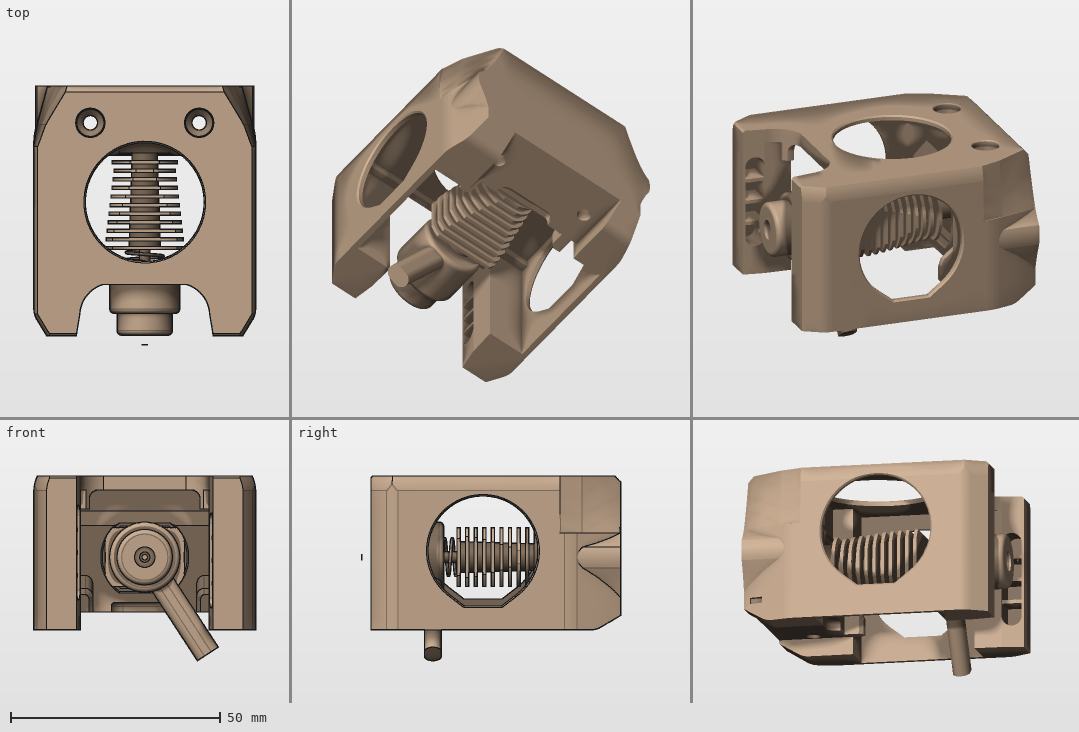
import cadquery as cq
import math


TOTAL_LENGTH = 61.85
DEPTH = 59.7
WIDTH = 53.0
HALF_WIDTH = WIDTH / 2
HEIGHT = 36.8
CROWN_START = 33.3
CROWN_TOP_INSET = 0.85
CROWN_MID_INSET = 0.25
LEG_TIP_HALF_WIDTH = 23.45
LEG_CHAMFER_END = 5.0
LEG_CHAMFER_ROUND = 5.4
TAPER_START = 47.8
REAR_HALF_WIDTH = 23.2
TAPER_ROUND = 11.15
REAR_BEVEL_LENGTH = 5.9
REAR_BEVEL_HEIGHT = 3.45
REAR_BEVEL_ROUND = 4.95
REAR_TOP_CHAMFER = 1.5
FRONT_TOP_CHAMFER = 0.5

CHANNEL_HALF = 15.3
LEG_FRONT_HALF = 16.3
FLARE_HALF = 15.45
FLARE_END = 5.25
LIP_BOTTOM = 33.4
LIP_REAR = 13.9
CEILING = 35.55
BAY_HALF = 25.05
BAY_FRONT = 11.95
BAY_REAR = 41.7
BLOCK_FRONT = 43.05
BLOCK_BOTTOM = 4.25
LEFT_RELIEF_HALF = 17.0
LEDGE_LOW = 24.9
LEDGE_RISE = 3.45
NICHE_REAR = BLOCK_FRONT + LEDGE_RISE
ROOF_EDGE = 12.25
ROOF_EDGE_HALF = 9.9

ROOF_HOLE_Y = 31.9
ROOF_HOLE_RADIUS = 14.15
RIM_CHAMFER = 0.4
FAN_HOLE_Y = 26.8
FAN_FLAT_RATIO = 0.34
LEFT_FAN_Z = 20.8
LEFT_FAN_RADIUS = 13.35
RIGHT_FAN_RADIUS = 13.1
SIDE_DROP = 1.9
RIGHT_FAN_Z = LEFT_FAN_Z - SIDE_DROP
SCREW_X = 13
SCREW_Y = 50.85
SCREW_DIAMETER = 3.4
SCREW_HEAD_DIAMETER = 6.5
SCREW_RIM_DIAMETER = 7.0
SCREW_HEAD_DEPTH = 1.55

AXIS_Z = 17.4
NOZZLE_FRONT = 0.1
NOZZLE_DIAMETER = 13.25
HEATER_FRONT = 5.3
HEATER_REAR = 17.45
HEATER_DIAMETER = 16.75
HEATER_ROUND = 1.1
TIP_RECESS_DIAMETER = 4.9
TIP_RECESS_DEPTH = 4.95
TIP_BORE_DIAMETER = 2.5
TIP_BORE_END = 12.4
NECK_DIAMETER = 2.6
FIN_COUNT = 11
FIN_THICKNESS = 0.8
FIRST_FIN_Y = 41.45
LAST_FIN_Y = 20.95
FIN_PITCH = (FIRST_FIN_Y - LAST_FIN_Y) / (FIN_COUNT - 1)
FIN_HALF_HEIGHT = 7.05
FIN_SMALL_HALF = 7.35
FIN_HALF_STEP = 0.235
REAR_FIN_RADIUS = 7.85
FIN_RADIUS_STEP = 0.45
FIN_RADIUS_MAX = 10.45
FOURTH_FIN_RADIUS = 8.0
CORE_REAR_DIAMETER = 6.2
CORE_STEP = 0.1
CABLE_DIAMETER = 4.1
CABLE_WIDTH = 6.0
CABLE_LENGTH = 27.6
CABLE_Y = 14.85
CABLE_ANGLE = 33.1
SPRING_RADIUS = 4.3
SPRING_WIRE = 0.7
SPRING_TURNS = 1.5
SPRING_BITE = 0.1

POCKET_RADIUS = 10.15
POCKET_HALF_HEIGHT = 8.15
POCKET_CHAMFER = 0.4
POCKET_DEPTH = 3.7
POCKET_STEP_DEPTH = 1.85
POCKET_STEP = 0.75

DISC_DIAMETER = 1.3
DISC_FRONT = DEPTH - TOTAL_LENGTH
DISC_THICKNESS = 0.05


def box(x0, x1, y0, y1, z0, z1):
    """Box between two opposite corners."""
    return cq.Workplane("XY").box(x1 - x0, y1 - y0, z1 - z0, centered=False).translate((x0, y0, z0))


def along_y(diameter, y0, y1):
    """Cylinder on the hotend axis from y0 to y1."""
    start = cq.Vector(0, y0, AXIS_Z)
    return cq.Workplane(cq.Solid.makeCylinder(diameter / 2, y1 - y0, start, cq.Vector(0, 1, 0)))


def xz_plane(y):
    """Sketch plane at y; its extrusions run toward +Y when negative."""
    return cq.Workplane("XZ", origin=(0, y, 0))


def edges_at(shape, direction, y):
    """Edges of one direction whose middle lies at y."""
    band = cq.selectors.BoxSelector((-WIDTH, y - 0.6, -0.6), (WIDTH, y + 0.6, HEIGHT + 0.6))
    return shape.edges(direction).edges(band)


def both_sides(shape):
    """The shape together with its mirror image across the middle plane."""
    return shape.union(shape.mirror("YZ"))



def crown_cutter():
    """Strip along Y that curves the top of a wall standing at X = 0 inward."""
    outside = 6.2
    above = HEIGHT + 0.6
    return (
        xz_plane(-DEPTH)
        .moveTo(0, CROWN_START)
        .threePointArc((-CROWN_MID_INSET, (CROWN_START + HEIGHT) / 2), (-CROWN_TOP_INSET, HEIGHT))
        .lineTo(-CROWN_TOP_INSET, above).lineTo(outside, above).lineTo(outside, CROWN_START)
        .close().extrude(-2 * DEPTH)
    )


def outer_block():
    """Block with chamfered leg fronts, tapered rear sides and rounded upper edges."""
    plan = (
        cq.Workplane("XY")
        .polyline([
            (-LEG_TIP_HALF_WIDTH, 0), (LEG_TIP_HALF_WIDTH, 0),
            (HALF_WIDTH, LEG_CHAMFER_END), (HALF_WIDTH, TAPER_START),
            (REAR_HALF_WIDTH, DEPTH), (-REAR_HALF_WIDTH, DEPTH),
            (-HALF_WIDTH, TAPER_START), (-HALF_WIDTH, LEG_CHAMFER_END),
        ])
        .close().extrude(HEIGHT)
    )
    plan = edges_at(plan, "|Z", LEG_CHAMFER_END).fillet(LEG_CHAMFER_ROUND)
    plan = edges_at(plan, "|Z", TAPER_START).fillet(TAPER_ROUND)
    side = (
        cq.Workplane("YZ", origin=(-HALF_WIDTH, 0, 0))
        .polyline([
            (0, 0), (DEPTH - REAR_BEVEL_LENGTH, 0), (DEPTH, REAR_BEVEL_HEIGHT),
            (DEPTH, HEIGHT - REAR_TOP_CHAMFER), (DEPTH - REAR_TOP_CHAMFER, HEIGHT),
            (FRONT_TOP_CHAMFER, HEIGHT), (0, HEIGHT - FRONT_TOP_CHAMFER),
        ])
        .close().extrude(2 * HALF_WIDTH)
    )
    side = edges_at(side, "|X", DEPTH - REAR_BEVEL_LENGTH).fillet(REAR_BEVEL_ROUND)
    block = plan.intersect(side)
    lean = math.degrees(math.atan2(HALF_WIDTH - LEG_TIP_HALF_WIDTH, LEG_CHAMFER_END))
    side_crown = crown_cutter()
    leg_crown = side_crown.rotate((0, 0, 0), (0, 0, 1), -lean)
    crowns = side_crown.union(leg_crown).translate((HALF_WIDTH, LEG_CHAMFER_END, 0))
    return block.cut(both_sides(crowns))


def corner_scoop():
    """Hollowed cut on the upper rear corner: nothing at the front, widest at the back."""
    start_y = 45.15
    bend_y = 50.4
    outside = HALF_WIDTH + 3.1
    above = HEIGHT + 0.6
    low_z = 23.15
    middle_z = 28.45
    front = (HALF_WIDTH, 26.5, 25.55)
    bend = (25.6, 24.75, 23.6)
    rear = (23.15, 20.9, 18.05)

    def section(y, half_widths):
        heights = (low_z, middle_z, HEIGHT)
        low, middle, high = [cq.Vector(x, y, z) for x, z in zip(half_widths, heights)]
        corners = [high, cq.Vector(high.x, y, above), cq.Vector(outside, y, above),
                   cq.Vector(outside, y, low.z), low]
        edges = [cq.Edge.makeThreePointArc(low, middle, high)]
        edges += [cq.Edge.makeLine(a, b) for a, b in zip(corners, corners[1:])]
        return cq.Wire.assembleEdges(edges)

    sections = [section(start_y, front), section(bend_y, bend), section(DEPTH, rear)]
    return cq.Workplane(cq.Solid.makeLoft(sections, True))


def rear_ridge():
    """Rounded ridge on the tapered wall, fading into it toward the front."""
    crest = 26.1
    crest_z = 17.3
    crest_half_height = 2.5
    shoulder = crest - 0.4
    bottom = 7.7
    top = 24.4
    top_half_width = 22.65
    inside = REAR_HALF_WIDTH - 1.85
    lower_flank = (24.5, 11.95)
    upper_flank = (23.9, 22.0)
    return (
        xz_plane(TAPER_START)
        .moveTo(inside, bottom).lineTo(REAR_HALF_WIDTH, bottom)
        .threePointArc(lower_flank, (shoulder, crest_z - crest_half_height))
        .threePointArc((crest, crest_z), (shoulder, crest_z + crest_half_height))
        .threePointArc(upper_flank, (top_half_width, top))
        .lineTo(inside, top)
        .close().extrude(TAPER_START - DEPTH)
    )


def channel():
    """Space between the legs, the fan bays beside it and the niche over the rear block."""
    middle = (
        cq.Workplane("XY")
        .polyline([
            (-LEG_FRONT_HALF, 0), (LEG_FRONT_HALF, 0), (FLARE_HALF, FLARE_END),
            (CHANNEL_HALF, BAY_FRONT), (CHANNEL_HALF, BLOCK_FRONT), (-CHANNEL_HALF, BLOCK_FRONT),
            (-CHANNEL_HALF, BAY_FRONT), (-FLARE_HALF, FLARE_END),
        ])
        .close().extrude(CEILING)
    )
    middle = middle.cut(box(-HALF_WIDTH, HALF_WIDTH, 0, LIP_REAR, LIP_BOTTOM, CEILING))
    bays = box(-BAY_HALF, BAY_HALF, BAY_FRONT, BAY_REAR, 0, CEILING)
    bays = bays.cut(box(-HALF_WIDTH, HALF_WIDTH, 0, LIP_REAR, LIP_BOTTOM, CEILING))
    niche = (
        cq.Workplane("YZ", origin=(-CHANNEL_HALF, 0, 0))
        .polyline([
            (BAY_REAR, LEDGE_LOW), (BLOCK_FRONT, LEDGE_LOW), (NICHE_REAR, LEDGE_LOW + LEDGE_RISE),
            (NICHE_REAR, CEILING), (BAY_REAR, CEILING),
        ])
        .close().extrude(2 * CHANNEL_HALF)
    )
    under_block = box(-LEFT_RELIEF_HALF, CHANNEL_HALF, BAY_REAR, DEPTH, 0, BLOCK_BOTTOM)
    left_relief = box(-LEFT_RELIEF_HALF, -CHANNEL_HALF, BAY_REAR, BLOCK_FRONT, 0, LEDGE_LOW)
    return middle.union(bays).union(niche).union(under_block).union(left_relief)


def roof_notch():
    """Opening of the roof at the front, with rounded inner corners."""
    corner_middle = (13.5, 10.0)
    return (
        cq.Workplane("XY")
        .moveTo(-LEG_FRONT_HALF, 0).lineTo(LEG_FRONT_HALF, 0).lineTo(FLARE_HALF, FLARE_END)
        .threePointArc(corner_middle, (ROOF_EDGE_HALF, ROOF_EDGE))
        .lineTo(-ROOF_EDGE_HALF, ROOF_EDGE)
        .threePointArc((-corner_middle[0], corner_middle[1]), (-FLARE_HALF, FLARE_END))
        .close().extrude(HEIGHT)
    )


def roof_hole():
    hole = cq.Workplane("XY").circle(ROOF_HOLE_RADIUS).extrude(HEIGHT - CEILING)
    rim_radius = ROOF_HOLE_RADIUS + RIM_CHAMFER
    rim = cq.Workplane(cq.Solid.makeCone(ROOF_HOLE_RADIUS, rim_radius, RIM_CHAMFER))
    hole = hole.union(rim.translate((0, 0, HEIGHT - CEILING - RIM_CHAMFER)))
    return hole.translate((0, ROOF_HOLE_Y, CEILING))


def fan_outline(radius, x):
    """Circle at x with a flat below that meets it along two tangents."""
    flat_half = FAN_FLAT_RATIO * radius
    tangent = 2 * math.atan(FAN_FLAT_RATIO)
    touch_y = radius * math.sin(tangent)
    touch_z = -radius * math.cos(tangent)
    return (
        cq.Workplane("YZ", origin=(x, 0, 0))
        .moveTo(-touch_y, touch_z)
        .threePointArc((0, radius), (touch_y, touch_z))
        .lineTo(flat_half, -radius).lineTo(-flat_half, -radius)
        .close()
    )


def fan_hole(radius, z, outward):
    """Side opening with a chamfered rim; outward is -1 for the left wall and 1 for the right."""
    surface = outward * HALF_WIDTH
    rim_start = surface - outward * RIM_CHAMFER
    hole = fan_outline(radius, outward * BAY_HALF).extrude(outward * (HALF_WIDTH - BAY_HALF))
    sections = [
        fan_outline(radius, rim_start).val(),
        fan_outline(radius + RIM_CHAMFER, surface).val(),
    ]
    rim = cq.Workplane(cq.Solid.makeLoft(sections, True))
    return hole.union(rim).translate((0, FAN_HOLE_Y, z))


def screw_hole():
    cone_depth = 1.7
    rim = (SCREW_RIM_DIAMETER - SCREW_HEAD_DIAMETER) / 2
    profile = [
        (0, 0), (SCREW_DIAMETER / 2, 0),
        (SCREW_DIAMETER / 2, HEIGHT - SCREW_HEAD_DEPTH - cone_depth),
        (SCREW_HEAD_DIAMETER / 2, HEIGHT - SCREW_HEAD_DEPTH),
        (SCREW_HEAD_DIAMETER / 2, HEIGHT - rim),
        (SCREW_RIM_DIAMETER / 2, HEIGHT), (0, HEIGHT),
    ]
    hole = cq.Workplane("XZ").polyline(profile).close().revolve(360, (0, 0), (0, 1))
    return hole.translate((SCREW_X, SCREW_Y, 0))


def flat_disc(radius, half_height, y, depth):
    """Disc across the hotend axis with its top and bottom cut flat."""
    disc = along_y(2 * radius, y, y + depth)
    return disc.intersect(box(-radius, radius, y, y + depth, AXIS_Z - half_height, AXIS_Z + half_height))


def heat_sink_pocket():
    pocket = flat_disc(POCKET_RADIUS, POCKET_HALF_HEIGHT, BLOCK_FRONT, POCKET_STEP_DEPTH)
    wide = flat_disc(POCKET_RADIUS + POCKET_CHAMFER, POCKET_HALF_HEIGHT + POCKET_CHAMFER,
                     BLOCK_FRONT, POCKET_DEPTH)
    narrow = pocket.translate((0, POCKET_CHAMFER, 0))
    sections = [wide.faces("<Y").wires().val(), narrow.faces("<Y").wires().val()]
    mouth = cq.Workplane(cq.Solid.makeLoft(sections, True))
    seat = flat_disc(POCKET_RADIUS - POCKET_STEP, POCKET_HALF_HEIGHT - POCKET_STEP,
                     BLOCK_FRONT, POCKET_DEPTH)
    return pocket.union(mouth).union(seat)


def lower_recess():
    """Shallow recess along the lower front edge of the rear block."""
    half_length = 8.0
    height = 2.35
    depth = 3.1
    corner_round = 2.8
    top_round = 1.0
    recess = box(-half_length, half_length, BLOCK_FRONT, BLOCK_FRONT + depth,
                 BLOCK_BOTTOM, BLOCK_BOTTOM + height)
    return recess.edges("|Z and >Y").fillet(corner_round).faces(">Z").edges(">Y").fillet(top_round)


def wire_slot():
    """Small slot in the left tapered wall."""
    front = 54.9
    rear = 58.15
    bottom = 4.5
    top = 6.0
    floor = -REAR_HALF_WIDTH + 0.6
    return box(-HALF_WIDTH, floor, front, rear, bottom, top)


def vent(top):
    """Rounded vent reaching up to top in the inner face of the right leg, crossed by flat ribs."""
    width = 4.7
    length = 22.65
    inner_end = 22.25
    rib_thickness = 0.85
    rib_pitch = 5.45
    rib_face = 16.0
    middle_y = 2.95
    middle_z = top - length / 2
    slot = (
        cq.Workplane("YZ", origin=(CHANNEL_HALF, middle_y, middle_z))
        .slot2D(length, width, 90).extrude(inner_end - CHANNEL_HALF)
    )
    for step in (-1, 0, 1):
        z = middle_z + step * rib_pitch
        slot = slot.cut(box(rib_face, inner_end, 0, 2 * width,
                            z - rib_thickness / 2, z + rib_thickness / 2))
    return slot


def corner_bracket():
    """Rib under the lip beside the leg, curving from the leg into the lip."""
    inner = 13.25
    foot = 28.8
    bend = 2.15
    front = 9.3
    rear = BAY_FRONT
    turn = bend * (1 - math.sqrt(0.5))
    return (
        xz_plane(front)
        .moveTo(CHANNEL_HALF, foot).lineTo(inner, foot).lineTo(inner, LIP_BOTTOM - bend)
        .threePointArc((inner - turn, LIP_BOTTOM - turn), (inner - bend, LIP_BOTTOM))
        .lineTo(CHANNEL_HALF + 0.6, LIP_BOTTOM).lineTo(CHANNEL_HALF + 0.6, foot)
        .close().extrude(front - rear)
    )


def gusset():
    """Support in the lower corner in front of the rear block, with a sloped top."""
    inner = 12.4
    top = 13
    slope_end = 9.35
    front = 38.6
    top_round = 1.75
    edge_chamfer = 0.9
    tab = (
        cq.Workplane("YZ", origin=(inner, 0, 0))
        .polyline([
            (BLOCK_FRONT, BLOCK_BOTTOM), (front, BLOCK_BOTTOM),
            (front, slope_end), (BLOCK_FRONT, top),
        ])
        .close().extrude(CHANNEL_HALF - inner)
    )
    tab = tab.faces(">Z").edges("<X").fillet(top_round)
    return tab.faces("<Y").edges("|Z and <X").chamfer(edge_chamfer)


def make_housing():
    body = outer_block()
    body = body.cut(both_sides(corner_scoop()))
    body = body.union(both_sides(rear_ridge()))
    body = body.cut(channel()).union(both_sides(corner_bracket()))
    body = body.cut(roof_notch()).cut(roof_hole())
    body = body.cut(fan_hole(LEFT_FAN_RADIUS, LEFT_FAN_Z, -1))
    body = body.cut(fan_hole(RIGHT_FAN_RADIUS, RIGHT_FAN_Z, 1))
    body = body.cut(both_sides(screw_hole()))
    body = body.cut(heat_sink_pocket()).cut(lower_recess()).cut(wire_slot())
    left_vent_top = 29.8
    right_vent_top = left_vent_top - SIDE_DROP
    body = body.cut(vent(left_vent_top).mirror("YZ")).cut(vent(right_vent_top))
    return body.union(both_sides(gusset()))



def heat_sink():
    shaft_end = BLOCK_FRONT + POCKET_DEPTH
    sink = along_y(CORE_REAR_DIAMETER, FIRST_FIN_Y, shaft_end)
    for index in range(FIN_COUNT):
        middle = FIRST_FIN_Y - index * FIN_PITCH
        half_width = FIN_SMALL_HALF + FIN_HALF_STEP * (index - 1)
        radius = max(half_width, FOURTH_FIN_RADIUS + FIN_RADIUS_STEP * (index - 3))
        radius = min(radius, FIN_RADIUS_MAX)
        if index == 0:
            half_width = REAR_FIN_RADIUS
            radius = REAR_FIN_RADIUS
        rear = middle + FIN_THICKNESS / 2
        front = middle - FIN_THICKNESS / 2
        fin = flat_disc(radius, FIN_HALF_HEIGHT, front, FIN_THICKNESS)
        fin = fin.intersect(box(-half_width, half_width, front, rear, 0, HEIGHT))
        sink = sink.union(fin)
        if index > 0:
            core = CORE_REAR_DIAMETER + CORE_STEP * index
            sink = sink.union(along_y(core, front, middle + FIN_PITCH))
    return sink


def heater():
    barrel = along_y(HEATER_DIAMETER, HEATER_FRONT, HEATER_REAR).edges().fillet(HEATER_ROUND)
    nozzle = along_y(NOZZLE_DIAMETER, NOZZLE_FRONT, HEATER_FRONT + 0.6).edges("<Y").fillet(HEATER_ROUND)
    return barrel.union(nozzle)


def cable():
    """Flat-sided lead running down from the heater."""
    lead = (
        cq.Workplane("XY").slot2D(CABLE_WIDTH, CABLE_DIAMETER).extrude(-CABLE_LENGTH)
        .rotate((0, 0, 0), (0, 1, 0), -CABLE_ANGLE)
    )
    return lead.translate((0, CABLE_Y, AXIS_Z))


def spring(rear, front):
    """Coil spring between the last fin and the heater."""
    inset = SPRING_WIRE / 2 - SPRING_BITE
    height = rear - front - 2 * inset
    path = cq.Wire.makeHelix(height / SPRING_TURNS, height, SPRING_RADIUS, lefthand=True)
    wire = (
        cq.Workplane("XZ").center(SPRING_RADIUS, 0).circle(SPRING_WIRE / 2)
        .sweep(cq.Workplane(path), isFrenet=True)
    )
    wire = wire.rotate((0, 0, 0), (1, 0, 0), 90).rotate((0, 0, 0), (0, 1, 0), 90)
    return wire.translate((0, rear - inset, AXIS_Z))


def make_hotend():
    last_fin_front = LAST_FIN_Y - FIN_THICKNESS / 2
    body = heat_sink().union(heater())
    body = body.union(along_y(NECK_DIAMETER, HEATER_REAR - 0.6, last_fin_front + 0.6))
    body = body.union(spring(last_fin_front, HEATER_REAR))
    body = body.union(cable())
    recess_end = NOZZLE_FRONT + TIP_RECESS_DEPTH
    body = body.cut(along_y(TIP_RECESS_DIAMETER, NOZZLE_FRONT, recess_end))
    return body.cut(along_y(TIP_BORE_DIAMETER, recess_end, TIP_BORE_END))



def make_tip_disc():
    return along_y(DISC_DIAMETER, DISC_FRONT, DISC_FRONT + DISC_THICKNESS)


housing = make_housing()
hotend = make_hotend()
tip_disc = make_tip_disc()

result = cq.Compound.makeCompound([
    *housing.solids().vals(),
    *hotend.solids().vals(),
    tip_disc.val(),
])